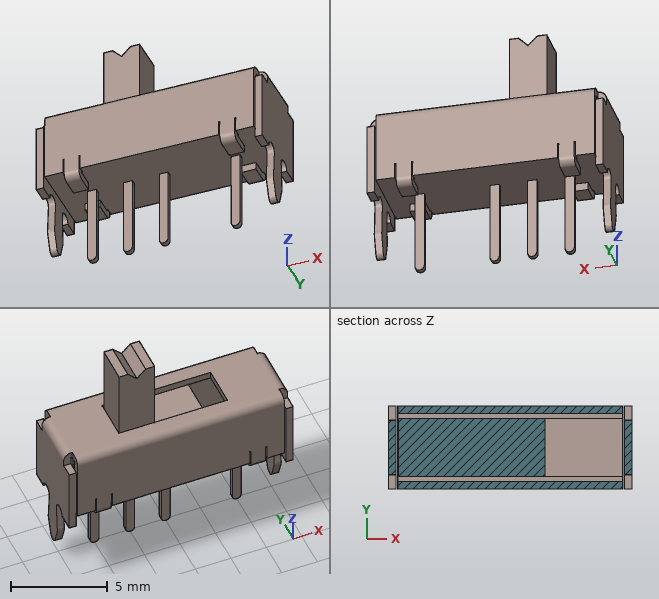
import cadquery as cq
import math

SHEET = 0.4
COVER_LENGTH = 11.65
COVER_WIDTH = 4.3
COVER_HEIGHT = 4.0
END_GAP = 0.075
SIDE_BEND_RADIUS = SHEET
END_BEND_RADIUS = SHEET + END_GAP

SLOT_LENGTH = 6.1
SLOT_WIDTH = 2.2

TRAVEL_POSITION = -2.0
HANDLE_SIZE = 2.0
HANDLE_HEIGHT = 4.0
GROOVE_WIDTH = 1.0
GROOVE_DEPTH = GROOVE_WIDTH / 2
CARRIAGE_LENGTH = 7.6
CARRIAGE_WIDTH = 3.0

BASE_FLOOR_HEIGHT = 1.0
BASE_RAIL_HEIGHT = 3.15

PIN_POSITIONS = (-4.0, -2.0, 0.0, 4.0)
PIN_WIDTH = 0.5
PIN_THICKNESS = 0.28
PIN_LENGTH = 4.5

TAB_POSITION = 4.34
TAB_WIDTH = 0.83
TAB_SLIT = 0.06
TAB_SLIT_HEIGHT = 0.83
TAB_TIP_Y = 0.8
TAB_BEND_RADIUS = 0.42

BEND_WIDTH = 2.84
SHOULDER_Z = 3.2
PLATE_BOTTOM_Z = -0.7
RELIEF_RADIUS = 0.38
NECK_HALF_WIDTH = 0.47
BULGE_HALF_WIDTH = 0.6
BULGE_SHOULDER_HALF_WIDTH = 0.58
BULGE_TOP_Z = -2.14
BULGE_BOTTOM_Z = -2.43
TIP_RADIUS = 0.3
TIP_TAPER = math.radians(19)
TIP_Z = -3.5

INNER_WIDTH = COVER_WIDTH - 2 * SHEET
ROOF_Z = COVER_HEIGHT - SHEET
HALF_LENGTH = COVER_LENGTH / 2
HALF_WIDTH = COVER_WIDTH / 2
PLATE_INNER_X = HALF_LENGTH + END_GAP
PLATE_OUTER_X = PLATE_INNER_X + SHEET


def block(x_size, y_size, z_bottom, z_top, x_center=0.0, y_center=0.0):
    """Box centred on a point in plan, spanning two heights."""
    return (
        cq.Workplane("XY", origin=(x_center, y_center, z_bottom))
        .rect(x_size, y_size)
        .extrude(z_top - z_bottom)
    )


def make_cover():
    """Inverted U channel with rounded long edges, travel slot and tab slits."""
    cover = block(COVER_LENGTH, COVER_WIDTH, 0, COVER_HEIGHT)
    cover = cover.edges("|X and >Z").fillet(SIDE_BEND_RADIUS)
    cover = cover.cut(block(COVER_LENGTH, INNER_WIDTH, 0, ROOF_Z))
    cover = cover.cut(block(SLOT_LENGTH, SLOT_WIDTH, ROOF_Z, COVER_HEIGHT))
    slit_offset = (TAB_WIDTH + TAB_SLIT) / 2
    for tab_x in (-TAB_POSITION, TAB_POSITION):
        for slit_x in (tab_x - slit_offset, tab_x + slit_offset):
            for wall_y in (-HALF_WIDTH + SHEET / 2, HALF_WIDTH - SHEET / 2):
                cover = cover.cut(block(TAB_SLIT, SHEET, 0, TAB_SLIT_HEIGHT, slit_x, wall_y))
    return cover


def make_base():
    """Base block with a carriage channel running its full length."""
    base = block(COVER_LENGTH, INNER_WIDTH, 0, BASE_RAIL_HEIGHT)
    return base.cut(block(COVER_LENGTH, CARRIAGE_WIDTH, BASE_FLOOR_HEIGHT, BASE_RAIL_HEIGHT))


def make_tab(tab_x):
    """Tab on the -Y wall, bent inward beneath the base."""
    return (
        cq.Workplane("YZ", origin=(tab_x - TAB_WIDTH / 2, 0, 0))
        .moveTo(-HALF_WIDTH, 0)
        .radiusArc((-HALF_WIDTH + TAB_BEND_RADIUS, -TAB_BEND_RADIUS), -TAB_BEND_RADIUS)
        .lineTo(-TAB_TIP_Y, -TAB_BEND_RADIUS)
        .lineTo(-TAB_TIP_Y, 0)
        .close()
        .extrude(TAB_WIDTH)
    )


def tip_point(angle):
    """Point (Y, Z) on the tail tip round, at an angle below horizontal."""
    return (TIP_RADIUS * math.cos(angle), TIP_Z + TIP_RADIUS * (1 - math.sin(angle)))


def make_end_plate():
    """Plate at +X: folded strip, shoulders, reliefs and mounting tail."""
    tip_mid_angle = (TIP_TAPER + math.pi / 2) / 2
    relief_y = NECK_HALF_WIDTH + RELIEF_RADIUS
    half_plate = (
        cq.Workplane("YZ", origin=(PLATE_INNER_X, 0, 0))
        .moveTo(0, SHOULDER_Z)
        .lineTo(HALF_WIDTH, SHOULDER_Z)
        .lineTo(HALF_WIDTH, PLATE_BOTTOM_Z)
        .lineTo(relief_y + RELIEF_RADIUS, PLATE_BOTTOM_Z)
        .threePointArc((relief_y, PLATE_BOTTOM_Z + RELIEF_RADIUS), (NECK_HALF_WIDTH, PLATE_BOTTOM_Z))
        .lineTo(BULGE_SHOULDER_HALF_WIDTH, BULGE_TOP_Z)
        .threePointArc(
            (BULGE_HALF_WIDTH, (BULGE_TOP_Z + BULGE_BOTTOM_Z) / 2),
            (BULGE_SHOULDER_HALF_WIDTH, BULGE_BOTTOM_Z),
        )
        .lineTo(*tip_point(TIP_TAPER))
        .threePointArc(tip_point(tip_mid_angle), (0, TIP_Z))
        .close()
        .extrude(SHEET)
    )
    plate = half_plate.union(half_plate.mirror("XZ"))
    strip = (
        cq.Workplane("XZ", origin=(0, BEND_WIDTH / 2, 0))
        .moveTo(PLATE_INNER_X, SHOULDER_Z)
        .lineTo(PLATE_OUTER_X, SHOULDER_Z)
        .lineTo(PLATE_OUTER_X, COVER_HEIGHT - END_BEND_RADIUS)
        .radiusArc((HALF_LENGTH, COVER_HEIGHT), -END_BEND_RADIUS)
        .lineTo(HALF_LENGTH, ROOF_Z)
        .lineTo(PLATE_INNER_X, ROOF_Z)
        .close()
        .extrude(BEND_WIDTH)
    )
    return plate.union(strip)


def make_slider():
    """Carriage between base and cover, with the grooved handle on top."""
    handle_top = COVER_HEIGHT + HANDLE_HEIGHT
    carriage = block(CARRIAGE_LENGTH, CARRIAGE_WIDTH, BASE_FLOOR_HEIGHT, ROOF_Z, TRAVEL_POSITION)
    handle = block(HANDLE_SIZE, HANDLE_SIZE, ROOF_Z, handle_top, TRAVEL_POSITION)
    groove = (
        cq.Workplane("XZ", origin=(TRAVEL_POSITION, HANDLE_SIZE / 2, handle_top))
        .moveTo(-GROOVE_WIDTH / 2, 0)
        .lineTo(GROOVE_WIDTH / 2, 0)
        .lineTo(0, -GROOVE_DEPTH)
        .close()
        .extrude(HANDLE_SIZE)
    )
    return carriage.union(handle.cut(groove))


def make_pin(pin_x):
    """Flat terminal pin with a fully rounded end."""
    radius = PIN_WIDTH / 2
    return (
        cq.Workplane("XZ", origin=(pin_x, PIN_THICKNESS / 2, 0))
        .moveTo(-radius, 0)
        .lineTo(-radius, radius - PIN_LENGTH)
        .threePointArc((0, -PIN_LENGTH), (radius, radius - PIN_LENGTH))
        .lineTo(radius, 0)
        .close()
        .extrude(PIN_THICKNESS)
    )


result = make_cover()
result = result.union(make_base())
result = result.union(make_slider())

for tab_center in (-TAB_POSITION, TAB_POSITION):
    tab = make_tab(tab_center)
    result = result.union(tab).union(tab.mirror("XZ"))

end_plate = make_end_plate()
result = result.union(end_plate).union(end_plate.mirror("YZ"))

for pin_center in PIN_POSITIONS:
    result = result.union(make_pin(pin_center))